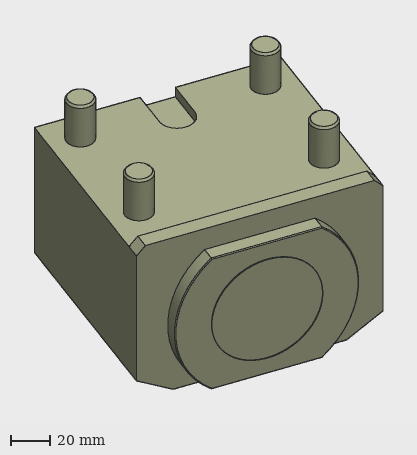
import cadquery as cq

body_length = 122.0
body_width = 140.0
body_height = 92.0
bevel_width = 20.9
bevel_height = 12.0

lip_thickness = 9.0
lip_height = 5.0

pin_diameter = 16.0
pin_height = 26.0
pin_chamfer_width = 1.0
pin_chamfer_height = 1.4
pin_start = 18.0
pin_spacing_x = 70.0
pin_spacing_y = 105.0

slot_width = 20.0
slot_length = 33.0
slot_depth = 6.0

flange_diameter = 104.6
flange_height = 83.7
flange_thickness = 8.5
flange_chamfer = 0.5
disc_diameter = 63.0
disc_thickness = 0.5
flange_center_z = flange_height / 2


def make_body():
    """Block with both lower edges bevelled along X."""
    half_width = body_width / 2
    bottom_half_width = half_width - bevel_width
    return (
        cq.Workplane("YZ")
        .polyline([
            (-bottom_half_width, 0),
            (bottom_half_width, 0),
            (half_width, bevel_height),
            (half_width, body_height),
            (-half_width, body_height),
            (-half_width, bevel_height),
        ])
        .close()
        .extrude(body_length)
    )


def make_lip():
    """Full-width strip whose ends slope inward at 45 degrees."""
    half_width = body_width / 2
    top_half_width = half_width - lip_height
    lip_top = body_height + lip_height
    return (
        cq.Workplane("YZ", origin=(body_length - lip_thickness, 0, 0))
        .polyline([
            (-half_width, body_height),
            (half_width, body_height),
            (top_half_width, lip_top),
            (-top_half_width, lip_top),
        ])
        .close()
        .extrude(lip_thickness)
    )


def make_pins():
    """Four pins on a rectangular grid, chamfered at the top."""
    grid_center_x = pin_start + pin_spacing_x / 2
    return (
        cq.Workplane("XY", origin=(grid_center_x, 0, body_height))
        .rarray(pin_spacing_x, pin_spacing_y, 2, 2)
        .circle(pin_diameter / 2)
        .extrude(pin_height)
        .faces(">Z")
        .chamfer(pin_chamfer_height, pin_chamfer_width)
    )


def make_slot():
    """Cutter for the slot, from the -X face to its round end."""
    end_radius = slot_width / 2
    straight_length = slot_length - end_radius
    return (
        cq.Workplane("XY", origin=(0, 0, body_height))
        .moveTo(0, -end_radius)
        .lineTo(straight_length, -end_radius)
        .threePointArc((slot_length, 0), (straight_length, end_radius))
        .lineTo(0, end_radius)
        .close()
        .extrude(-slot_depth)
    )


def make_flange():
    """Round flange cut flat above and below, with a disc on its +X face."""
    flange_plane = cq.Workplane("YZ", origin=(body_length, 0, flange_center_z))
    round_blank = flange_plane.circle(flange_diameter / 2).extrude(flange_thickness)
    flat_limits = flange_plane.rect(flange_diameter, flange_height).extrude(flange_thickness)
    flange = round_blank.intersect(flat_limits).faces(">X").chamfer(flange_chamfer)
    disc = flange_plane.circle(disc_diameter / 2).extrude(flange_thickness + disc_thickness)
    return flange.union(disc)


result = (
    make_body()
    .cut(make_slot())
    .union(make_lip())
    .union(make_pins())
    .union(make_flange())
)